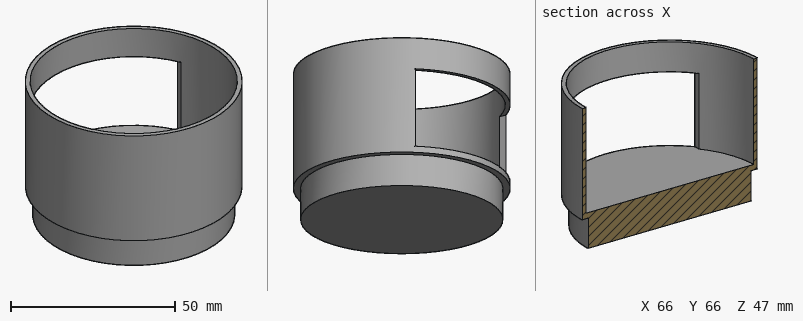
import cadquery as cq

outer_diameter = 66.0
inner_diameter = 63.0
total_height = 47.0

spigot_diameter = 61.6
spigot_height = 10.0

floor_thickness = 2.0
floor_top = spigot_height + floor_thickness

window_width = 50.0
window_height = 25.0


def make_body():
    """Solid spigot with the wider cup body standing on it."""
    spigot = cq.Workplane("XY").circle(spigot_diameter / 2).extrude(spigot_height)
    cup = (
        cq.Workplane("XY", origin=(0, 0, spigot_height))
        .circle(outer_diameter / 2)
        .extrude(total_height - spigot_height)
    )
    return spigot.union(cup)


def make_cavity():
    """Round cavity, open at the top."""
    return (
        cq.Workplane("XY", origin=(0, 0, floor_top))
        .circle(inner_diameter / 2)
        .extrude(total_height - floor_top)
    )


def make_window():
    """Rectangular opening from the axis out through the -X wall."""
    return cq.Workplane("XY", origin=(0, 0, floor_top)).box(
        outer_diameter / 2, window_width, window_height, centered=(False, True, False)
    ).translate((-outer_diameter / 2, 0, 0))


result = make_body().cut(make_cavity()).cut(make_window())